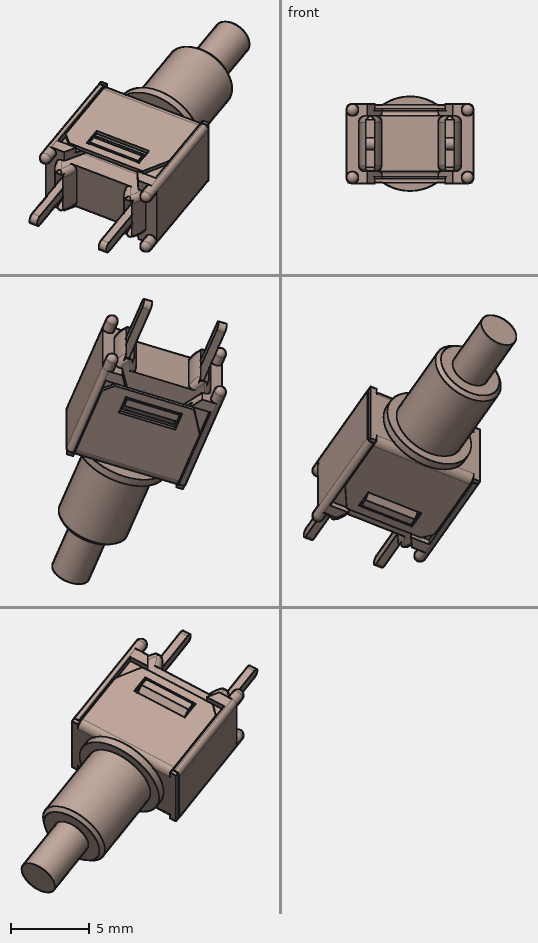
import cadquery as cq

case_width = 8.12
case_length = 6.73
case_thickness = 5.09
peg_diameter = 0.77
peg_straight_length = 0.68

pocket_half_width = 3.57
pocket_start = 0.75
pocket_floor = 2.12
notch_half_width = 2.71
notch_pocket_half_width = 2.25
notch_depth_y = 1.47
notch_floor = 1.77
notch_fillet = 0.25

sheet = 0.25
bracket_half_thickness = 2.48
bracket_end = case_length + sheet
bend_radius = 2 * sheet
end_plate_width = 7.9
leaf_half_width = 3.5
leaf_start = 0.96
small_corner = 0.65
large_corner_x = 1.0
large_corner_y = 1.69

window_width = 3.83
window_start = 1.54
window_length = 1.28
catch_side_gap = 0.13
catch_end_gap = 0.1
catch_flat = 0.53
catch_top = 2.5
catch_front_setback = 0.1

flange_diameter = 6.05
flange_thickness = 0.53
bushing_diameter = 4.72
bushing_length = 5.58
bushing_edge = 0.25
button_diameter = 2.55
button_tip = 17.03

terminal_x = 2.532
terminal_width = 0.55
terminal_thickness = 0.75
terminal_tip = 4.34
hump_half_width = 0.737
hump_middle_half_width = 0.566
hump_middle = 0.53
hump_height = 0.98
hump_side_fillet = 0.4
hump_end_fillet = 0.25
hump_slot_half_height = 1.52

peg_radius = peg_diameter / 2
flange_start = bracket_end
bushing_start = flange_start + flange_thickness
bushing_end = bushing_start + bushing_length


def block(x_start, x_end, y_start, y_end, z_start, z_end):
    """Box between two corners."""
    size = (x_end - x_start, y_end - y_start, z_end - z_start)
    return cq.Workplane("XY").box(*size, centered=False).translate((x_start, y_start, z_start))


def rod(diameter, y_start, y_end, x=0, z=0):
    """Cylinder along Y."""
    plane = cq.Plane(origin=(x, y_start, z), xDir=(1, 0, 0), normal=(0, 1, 0))
    return cq.Workplane(plane).circle(diameter / 2).extrude(y_end - y_start)


def both_faces(shape):
    """The shape together with its mirror image on the other broad face."""
    return shape.union(shape.mirror("XY"))


def make_case():
    case = block(
        -case_width / 2, case_width / 2, 0, case_length, -case_thickness / 2, case_thickness / 2
    ).edges("|Y").fillet(peg_radius)
    pocket = block(
        -pocket_half_width, pocket_half_width, pocket_start, case_length, pocket_floor, case_thickness / 2
    )
    return case.cut(both_faces(pocket)).cut(both_faces(make_notch()))


def make_notch():
    """Tapered notch with a rounded inner corner along its floor."""
    taper = (notch_half_width - notch_pocket_half_width) / pocket_start
    end_half_width = notch_half_width - taper * notch_depth_y
    return (
        cq.Workplane("XY", origin=(0, 0, notch_floor))
        .polyline([
            (-notch_half_width, 0),
            (notch_half_width, 0),
            (end_half_width, notch_depth_y),
            (-end_half_width, notch_depth_y),
        ])
        .close()
        .extrude(case_thickness / 2 - notch_floor)
        .faces(">Y").edges("<Z").fillet(notch_fillet)
    )


def make_pegs():
    """Four corner pegs with ball ends, flush with the rounded case edges."""
    pegs = cq.Workplane("XY")
    for x_side in (-1, 1):
        for z_side in (-1, 1):
            x = x_side * (case_width / 2 - peg_radius)
            z = z_side * (case_thickness / 2 - peg_radius)
            ball = cq.Workplane("XY").sphere(peg_radius).translate((x, -peg_straight_length, z))
            pegs = pegs.union(rod(peg_diameter, -peg_straight_length, 0, x, z)).union(ball)
    return pegs


def make_bracket():
    """End plate with two leaves bent over the broad faces of the case."""
    end_plate = block(
        -end_plate_width / 2, end_plate_width / 2,
        case_length, bracket_end,
        -bracket_half_thickness, bracket_half_thickness,
    )
    sharp_bend = block(
        -leaf_half_width, leaf_half_width,
        bracket_end - bend_radius, bracket_end,
        bracket_half_thickness - bend_radius, bracket_half_thickness,
    )
    bend_waste = sharp_bend.cut(
        cq.Workplane("YZ", origin=(-leaf_half_width, 0, 0))
        .center(bracket_end - bend_radius, bracket_half_thickness - bend_radius)
        .circle(bend_radius)
        .extrude(2 * leaf_half_width)
    )
    leaf = (
        cq.Workplane("XY", origin=(0, 0, bracket_half_thickness - sheet))
        .polyline([
            (-leaf_half_width, bracket_end),
            (-leaf_half_width, leaf_start + small_corner),
            (-leaf_half_width + small_corner, leaf_start),
            (leaf_half_width - large_corner_x, leaf_start),
            (leaf_half_width, leaf_start + large_corner_y),
            (leaf_half_width, bracket_end),
        ])
        .close()
        .extrude(sheet)
    )
    window = block(
        -window_width / 2, window_width / 2,
        window_start, window_start + window_length,
        pocket_floor, bracket_half_thickness,
    )
    leaf = leaf.cut(window)
    return end_plate.union(both_faces(leaf)).cut(both_faces(bend_waste))


def make_catch():
    """Snap catch: flat toward the terminals, sloping down toward the button."""
    half_width = window_width / 2 - catch_side_gap
    flat_start = window_start + catch_front_setback
    return (
        cq.Workplane("YZ", origin=(-half_width, 0, 0))
        .polyline([
            (window_start, pocket_floor),
            (flat_start, catch_top),
            (flat_start + catch_flat, catch_top),
            (window_start + window_length - catch_end_gap, pocket_floor),
        ])
        .close()
        .extrude(2 * half_width)
    )


def make_actuator():
    """Flange, bushing with a chamfered end, and the round button."""
    bushing = rod(bushing_diameter, bushing_start, bushing_end).faces(">Y").edges().chamfer(bushing_edge)
    flange = rod(flange_diameter, flange_start, bushing_start)
    button = rod(button_diameter, bushing_end, button_tip)
    return flange.union(bushing).union(button)


def make_hump():
    """Sealant hump: two curved flanks with rounded edges, closed by a rounded end."""
    overlap = 4 * hump_half_width
    flank = (
        cq.Workplane("XY", origin=(0, 0, -notch_floor))
        .moveTo(-hump_half_width, 0)
        .threePointArc((-hump_middle_half_width, -hump_middle), (-terminal_width / 2, -hump_height))
        .lineTo(overlap, -hump_height)
        .lineTo(overlap, 0)
        .close()
        .extrude(2 * notch_floor)
        .faces("<Z or >Z").edges("%CIRCLE").fillet(hump_side_fillet)
    )
    end = block(-hump_half_width, hump_half_width, -hump_height, 0, -notch_floor, notch_floor)
    end = end.faces("<Y").edges("|X").fillet(hump_end_fillet)
    return flank.intersect(flank.mirror("YZ")).intersect(end).cut(make_hump_slot())


def make_hump_slot():
    """Slot as wide as the pin, closed toward +Z and running out through the -Z corner of the hump."""
    return (
        cq.Workplane("YZ", origin=(-terminal_width / 2, 0, 0))
        .polyline([
            (0, -hump_slot_half_height),
            (0, hump_slot_half_height),
            (-hump_height, hump_slot_half_height),
            (-hump_height, -notch_floor),
        ])
        .close()
        .extrude(terminal_width)
    )


def make_terminal():
    """Flat pin with a full round tip, rising from its sealing hump."""
    pin_radius = terminal_thickness / 2
    pin = (
        cq.Workplane("YZ", origin=(-terminal_width / 2, 0, 0))
        .moveTo(0, -pin_radius)
        .lineTo(pin_radius - terminal_tip, -pin_radius)
        .threePointArc((-terminal_tip, 0), (pin_radius - terminal_tip, pin_radius))
        .lineTo(0, pin_radius)
        .close()
        .extrude(terminal_width)
    )
    return make_hump().union(pin)


result = make_case().union(make_pegs()).union(make_bracket()).union(both_faces(make_catch()))
result = result.union(make_actuator())
for side in (-1, 1):
    result = result.union(make_terminal().translate((side * terminal_x, 0, 0)))